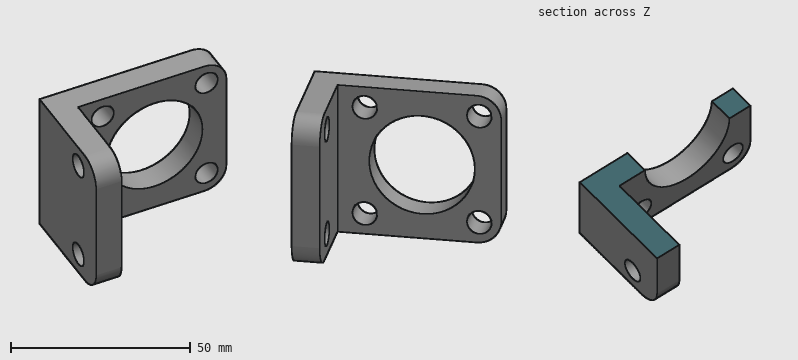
import cadquery as cq

length = 54.5
width = 35.0
height = 45.0
thickness = 8.0
corner_radius = 7.0

screw_diameter = 7.0
bore_diameter = 30.0
bolt_spacing = 32.55
foot_hole_x = 24.0
foot_hole_spacing = 32.0

mid_height = height / 2
bore_y = length - mid_height


def motor_plate():
    """Upright plate in the YZ plane, rounded at its free end."""
    plate = cq.Workplane("XY").box(thickness, length, height, centered=False)
    plate = plate.edges("|X and >Y").fillet(corner_radius)
    face = cq.Workplane("YZ").center(bore_y, mid_height)
    bore = face.circle(bore_diameter / 2).extrude(thickness)
    screws = (
        face.rect(bolt_spacing, bolt_spacing, forConstruction=True)
        .vertices()
        .circle(screw_diameter / 2)
        .extrude(thickness)
    )
    return plate.cut(bore).cut(screws)


def mounting_foot():
    """Upright plate in the XZ plane, rounded at its free end."""
    foot = cq.Workplane("XY").box(width, thickness, height, centered=False)
    foot = foot.edges("|Y and >X").fillet(corner_radius)
    half_spacing = foot_hole_spacing / 2
    screws = (
        cq.Workplane("XZ")
        .center(foot_hole_x, mid_height)
        .pushPoints([(0, -half_spacing), (0, half_spacing)])
        .circle(screw_diameter / 2)
        .extrude(-thickness)
    )
    return foot.cut(screws)


result = motor_plate().union(mounting_foot())